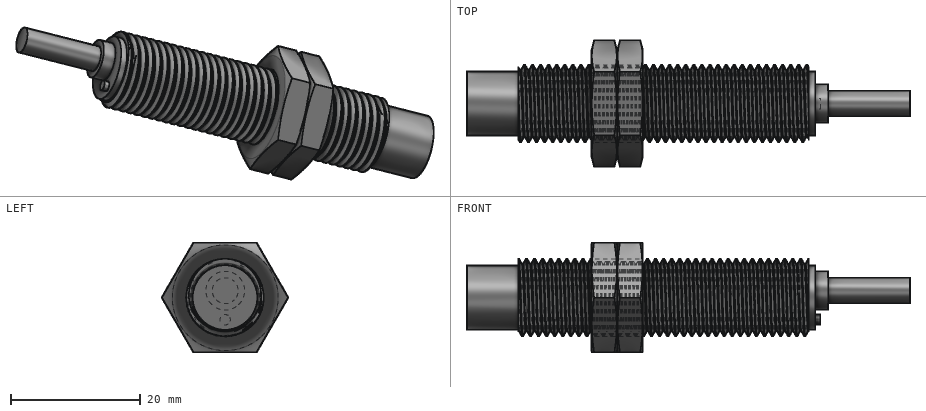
import cadquery as cq
import math


total_length = 68.7
nose_length = 8.0
thread_length = 45.0
end_shoulder_length = 1.0
collar_length = 2.0
led_length = 0.8
thread_end = nose_length + thread_length
barrel_end = thread_end + end_shoulder_length
collar_end = barrel_end + collar_length
cable_length = total_length - collar_end

barrel_diameter = 10.0
collar_diameter = 6.0
cable_diameter = 4.0
cable_offset_z = 1.1
led_diameter = 1.6
led_offset_z = -3.4

thread_diameter = 12.0
thread_pitch = 1.25
root_depth_per_pitch = 0.61345
root_diameter = thread_diameter - 2 * root_depth_per_pitch * thread_pitch
crest_width = thread_pitch / 8
flank_angle = math.radians(30)
ridge_embedment = 0.1

nut_start = 19.3
nut_thickness = 4.0
nut_count = 2
nut_across_flats = 17.0
nut_across_corners = nut_across_flats / math.cos(math.radians(30))
nut_face_diameter = 16.4
nut_bore_clearance = 0.01
nut_bore_diameter = thread_diameter + 2 * nut_bore_clearance
nut_chamfer_angle = math.radians(15)


def cylinder(start, length, diameter, offset_z=0.0):
    """Cylinder along X, with its axis raised by offset_z."""
    face = cq.Workplane("YZ", origin=(start, 0, offset_z))
    return face.circle(diameter / 2).extrude(length)


def thread_ridge():
    """Helical ridge with a crest at +Z at both ends of the thread, trimmed square to the threaded length."""
    root_radius = root_diameter / 2 - ridge_embedment
    crest_radius = thread_diameter / 2
    half_crest = crest_width / 2
    half_base = half_crest + (crest_radius - root_radius) * math.tan(flank_angle)

    helix = cq.Wire.makeHelix(thread_pitch, thread_length + 2 * thread_pitch, root_radius)
    ridge = (
        cq.Workplane("XZ")
        .moveTo(root_radius, -half_base)
        .lineTo(crest_radius, -half_crest)
        .lineTo(crest_radius, half_crest)
        .lineTo(root_radius, half_base)
        .close()
        .sweep(cq.Workplane(obj=helix), isFrenet=True)
    )

    ridge = ridge.rotate((0, 0, 0), (0, 1, 0), 90).rotate((0, 0, 0), (1, 0, 0), 180)
    ridge = ridge.translate((nose_length - thread_pitch, 0, 0))
    return ridge.intersect(cylinder(nose_length, thread_length, 2 * thread_diameter))


def make_sensor():
    """Threaded barrel with plain nose, indicator light, cable collar and cable."""
    sensor = cylinder(nose_length, thread_length, root_diameter).union(thread_ridge())
    sensor = sensor.union(cylinder(0, nose_length, barrel_diameter))
    sensor = sensor.union(cylinder(thread_end, end_shoulder_length, barrel_diameter))
    sensor = sensor.union(cylinder(barrel_end, collar_length, collar_diameter, cable_offset_z))
    sensor = sensor.union(cylinder(collar_end, cable_length, cable_diameter, cable_offset_z))
    return sensor.union(cylinder(barrel_end, led_length, led_diameter, led_offset_z))


def make_nut(start):
    """Hexagon nut with corners along Y, chamfered on both faces."""
    face_radius = nut_face_diameter / 2
    corner_radius = nut_across_corners / 2
    chamfer_depth = (corner_radius - face_radius) * math.tan(nut_chamfer_angle)
    hexagon = cq.Workplane("YZ").polygon(6, nut_across_corners).extrude(nut_thickness)
    envelope = (
        cq.Workplane("XY")
        .lineTo(0, face_radius)
        .lineTo(chamfer_depth, corner_radius)
        .lineTo(nut_thickness - chamfer_depth, corner_radius)
        .lineTo(nut_thickness, face_radius)
        .lineTo(nut_thickness, 0)
        .close()
        .revolve(360, (0, 0, 0), (1, 0, 0))
    )
    return hexagon.intersect(envelope).translate((start, 0, 0))


def make_nut_pair():
    """Two nuts locked face to face as one body, with a plain bore just clear of the thread crests."""
    pair = make_nut(nut_start)
    for index in range(1, nut_count):
        pair = pair.union(make_nut(nut_start + index * nut_thickness))
    return pair.cut(cylinder(nut_start, nut_count * nut_thickness, nut_bore_diameter))


sensor = make_sensor()
nut_pair = make_nut_pair()

result = cq.Compound.makeCompound([sensor.solids().val(), nut_pair.solids().val()])